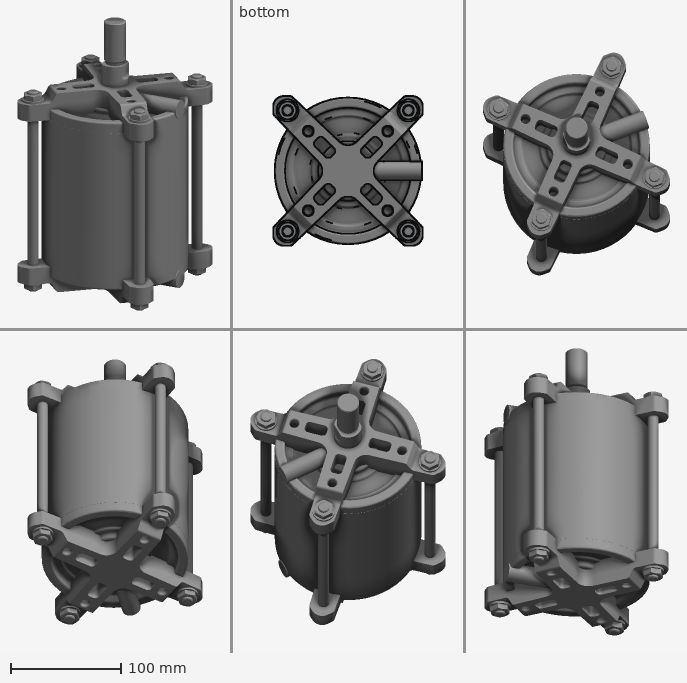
import cadquery as cq
import math

BRACKET_TOP = 191.3
BRACKET_HEIGHT = 25.0
BRACKET_BASE = BRACKET_TOP - BRACKET_HEIGHT
MID_HEIGHT = BRACKET_TOP / 2

DRUM_RADIUS = 133.3 / 2
CAP_RIM_TOP = 176.2
CAP_RADIUS = 133.0 / 2
CAP_SEAT = 2.5
CAP_EDGE_ROUND = 1.8
CAP_TIER = BRACKET_BASE + 2.3
RIM_WALL_RADIUS = 57.2
OUTER_TIER_RADIUS = 50.2
INNER_TIER_RADIUS = 32.6
HUB_RADIUS = 27.0
HUB_TOP = 174.2
TIER_WALL_ANGLE = 60.0
CAP_ROUND = 2.3
TIER_EDGE_ROUND = 1.5

FOOT_REACH = 136.0 / 2
FOOT_CORNER = 51.5
FOOT_ROUND = 10.0
FOOT_SIDE_ROUND = 4.3
ARM_NOTCH = 19.0
ARM_NOTCH_ROUND = 11.0
FOOT_TOP = 182.0
ARM_TOP_END = 58.5
ARM_TOP_ROUND = 2.5
ARM_SLOPE_ANGLE = 60.0
ARM_FOOT_ROUND = 4.3
ARM_ANGLES = (45, 135, 225, 315)
ARM_BLANK_LENGTH = 100.5
ARM_BLANK_WIDTH = 35.1

SLOT_DISTANCE = 30.0
SLOT_LENGTH = 20.5
SLOT_WIDTH = 11.0
SLOT_ROUND = 3.8
HOLE_DISTANCE = 51.0
HOLE_RADIUS = 8.5 / 2
HOLE_MOUTH_RADIUS = 10.0 / 2
HOLE_DEPTH = 20.0
DRILL_POINT_ANGLE = 118.0

ROD_DISTANCE = 77.5
ROD_RADIUS = 10.0 / 2
ROD_TIP_CHAMFER = 0.8
WASHER_RADIUS = 20.0 / 2
WASHER_THICKNESS = 2.0
NUT_ACROSS_FLATS = 16.0
NUT_HEIGHT = 5.0
NUT_CHAMFER_ANGLE = 30.0

CABLE_RADIUS = 17.0 / 2
CABLE_HEIGHT = 177.0
CABLE_START = 15.0
CABLE_END = 67.3

SHAFT_TOP = 251.0
COLLAR_RADIUS = 25.0 / 2
COLLAR_TOP = 210.5
FLAT_OFFSET = 10.5
FLAT_BOTTOM = 201.3
FLAT_CUTTER_RADIUS = 5.0
NECK_RADIUS = 16.0 / 2
TIP_RADIUS = 20.0 / 2
TIP_BOTTOM = 213.0
TIP_BOTTOM_CHAMFER = 1.3
TIP_TOP_CHAMFER = 0.8


def rounded_outline(plane, corners):
    """Closed outline on a plane through (x, y, corner radius) points; radius 0 stays sharp."""
    count = len(corners)
    stops = []
    for index, (x, y, radius) in enumerate(corners):
        corner = cq.Vector(x, y)
        if radius == 0:
            stops.append((corner, None, corner))
            continue
        before = (cq.Vector(*corners[index - 1][:2]) - corner).normalized()
        after = (cq.Vector(*corners[(index + 1) % count][:2]) - corner).normalized()
        half_angle = before.getAngle(after) / 2
        setback = radius / math.tan(half_angle)
        to_arc = radius / math.sin(half_angle) - radius
        middle = corner + (before + after).normalized() * to_arc
        stops.append((corner + before * setback, middle, corner + after * setback))
    start = stops[0][2]
    outline = cq.Workplane(plane).moveTo(start.x, start.y)
    for entry, middle, leave in stops[1:] + stops[:1]:
        outline = outline.lineTo(entry.x, entry.y)
        if middle is not None:
            outline = outline.threePointArc((middle.x, middle.y), (leave.x, leave.y))
    return outline.close()


def polar(distance, angle):
    """Point at a distance from the Z axis, at an angle in degrees from +X."""
    return (distance * math.cos(math.radians(angle)), distance * math.sin(math.radians(angle)))


def cap():
    """Upper cap, seated a little way into the drum: rim, stepped ring recess and stepped hub."""
    tier_run = (CAP_TIER - BRACKET_BASE) / math.tan(math.radians(TIER_WALL_ANGLE))
    profile = [
        (0, BRACKET_BASE - CAP_SEAT, 0),
        (CAP_RADIUS, BRACKET_BASE - CAP_SEAT, 0),
        (CAP_RADIUS, CAP_RIM_TOP, CAP_EDGE_ROUND),
        (RIM_WALL_RADIUS, CAP_RIM_TOP, CAP_ROUND),
        (RIM_WALL_RADIUS, CAP_TIER, CAP_ROUND),
        (OUTER_TIER_RADIUS, CAP_TIER, TIER_EDGE_ROUND),
        (OUTER_TIER_RADIUS - tier_run, BRACKET_BASE, CAP_ROUND),
        (INNER_TIER_RADIUS + tier_run, BRACKET_BASE, TIER_EDGE_ROUND),
        (INNER_TIER_RADIUS, CAP_TIER, CAP_ROUND),
        (HUB_RADIUS, CAP_TIER, CAP_ROUND),
        (HUB_RADIUS, HUB_TOP, CAP_ROUND),
        (0, HUB_TOP, 0),
    ]
    return rounded_outline("XZ", profile).revolve(360, (0, 0, 0), (0, 1, 0))


def arm_blank():
    """Side shape of one arm along +X: full height at the centre, sloping down to a low foot."""
    drop = BRACKET_TOP - FOOT_TOP
    slope_end = ARM_TOP_END + drop / math.tan(math.radians(ARM_SLOPE_ANGLE))
    profile = [
        (0, BRACKET_BASE, 0),
        (ARM_BLANK_LENGTH, BRACKET_BASE, 0),
        (ARM_BLANK_LENGTH, FOOT_TOP, 0),
        (slope_end, FOOT_TOP, ARM_FOOT_ROUND),
        (ARM_TOP_END, BRACKET_TOP, ARM_TOP_ROUND),
        (0, BRACKET_TOP, 0),
    ]
    return rounded_outline("XZ", profile).extrude(ARM_BLANK_WIDTH / 2, both=True)


def bracket_plan():
    """Cross of four tapering arms whose feet end in the corners of a square."""
    quadrant = [
        (ARM_NOTCH, 0, ARM_NOTCH_ROUND),
        (FOOT_REACH, FOOT_CORNER, FOOT_SIDE_ROUND),
        (FOOT_REACH, FOOT_REACH, FOOT_ROUND),
        (FOOT_CORNER, FOOT_REACH, FOOT_SIDE_ROUND),
    ]
    corners = []
    for _ in ARM_ANGLES:
        corners += quadrant
        quadrant = [(-y, x, radius) for x, y, radius in quadrant]
    plan = rounded_outline("XY", corners).extrude(BRACKET_HEIGHT)
    return plan.translate((0, 0, BRACKET_BASE))


def arm_slot():
    """Rounded slot through an arm lying along +X."""
    slot = cq.Workplane("XY").box(SLOT_LENGTH, SLOT_WIDTH, BRACKET_HEIGHT, centered=(True, True, False))
    return slot.edges("|Z").fillet(SLOT_ROUND).translate((SLOT_DISTANCE, 0, BRACKET_BASE))


def threaded_hole():
    """Blind hole with a chamfered mouth and a conical bottom, in an arm lying along +X."""
    point_depth = HOLE_RADIUS / math.tan(math.radians(DRILL_POINT_ANGLE / 2))
    mouth_depth = HOLE_MOUTH_RADIUS - HOLE_RADIUS
    profile = [
        (0, BRACKET_TOP),
        (HOLE_MOUTH_RADIUS, BRACKET_TOP),
        (HOLE_RADIUS, BRACKET_TOP - mouth_depth),
        (HOLE_RADIUS, BRACKET_TOP - HOLE_DEPTH),
        (0, BRACKET_TOP - HOLE_DEPTH - point_depth),
    ]
    hole = cq.Workplane("XZ").polyline(profile).close().revolve(360, (0, 0, 0), (0, 1, 0))
    return hole.translate((HOLE_DISTANCE, 0, 0))


def bracket():
    """Four sloping arms trimmed to the plan, with a slot and a threaded hole in each."""
    arms = cq.Workplane("XY")
    cuts = cq.Workplane("XY")
    for angle in ARM_ANGLES:
        arms = arms.add(arm_blank().rotate((0, 0, 0), (0, 0, 1), angle))
        cuts = cuts.add(arm_slot().rotate((0, 0, 0), (0, 0, 1), angle))
        cuts = cuts.add(threaded_hole().rotate((0, 0, 0), (0, 0, 1), angle))
    return bracket_plan().intersect(arms.combine()).cut(cuts.combine())


def tie_rod():
    """Full-length rod on the Z axis with chamfered tips."""
    rod = cq.Workplane("XY").circle(ROD_RADIUS).extrude(BRACKET_TOP)
    return rod.faces("<Z or >Z").chamfer(ROD_TIP_CHAMFER)


def washer_and_nut():
    """Washer and hexagon nut on the upper foot, around the Z axis."""
    washer = cq.Workplane("XY", origin=(0, 0, FOOT_TOP)).circle(WASHER_RADIUS).extrude(WASHER_THICKNESS)
    nut_base = FOOT_TOP + WASHER_THICKNESS
    across_corners = NUT_ACROSS_FLATS / math.cos(math.radians(30))
    nut = cq.Workplane("XY", origin=(0, 0, nut_base)).polygon(6, across_corners).extrude(NUT_HEIGHT)
    flat_radius = NUT_ACROSS_FLATS / 2
    cone_radius = flat_radius + NUT_HEIGHT / math.tan(math.radians(NUT_CHAMFER_ANGLE))
    cone = cq.Solid.makeCone(cone_radius, flat_radius, NUT_HEIGHT, cq.Vector(0, 0, nut_base))
    return washer.union(nut.intersect(cq.Workplane(cone)))


def cable():
    """Straight stub of cable that comes out from under the bracket."""
    return (
        cq.Workplane("YZ", origin=(CABLE_START, 0, CABLE_HEIGHT))
        .circle(CABLE_RADIUS)
        .extrude(CABLE_END - CABLE_START)
    )


def shaft():
    """Shaft standing in the upper bracket, with two wrench flats facing -X and +X."""
    profile = [
        (0, BRACKET_BASE),
        (COLLAR_RADIUS, BRACKET_BASE),
        (COLLAR_RADIUS, COLLAR_TOP),
        (NECK_RADIUS, COLLAR_TOP),
        (NECK_RADIUS, TIP_BOTTOM),
        (TIP_RADIUS - TIP_BOTTOM_CHAMFER, TIP_BOTTOM),
        (TIP_RADIUS, TIP_BOTTOM + TIP_BOTTOM_CHAMFER),
        (TIP_RADIUS, SHAFT_TOP - TIP_TOP_CHAMFER),
        (TIP_RADIUS - TIP_TOP_CHAMFER, SHAFT_TOP),
        (0, SHAFT_TOP),
    ]
    turned = cq.Workplane("XZ").polyline(profile).close().revolve(360, (0, 0, 0), (0, 1, 0))
    cutter_end = FLAT_OFFSET + 2 * FLAT_CUTTER_RADIUS
    cutter_bottom = FLAT_BOTTOM - FLAT_CUTTER_RADIUS
    flat_cut = rounded_outline(
        "XZ",
        [
            (FLAT_OFFSET, COLLAR_TOP, 0),
            (FLAT_OFFSET, cutter_bottom, FLAT_CUTTER_RADIUS),
            (cutter_end, cutter_bottom, 0),
            (cutter_end, COLLAR_TOP, 0),
        ],
    ).extrude(COLLAR_RADIUS, both=True)
    return turned.cut(flat_cut).cut(flat_cut.mirror("YZ"))


def upper_end():
    """Cap, bracket, cable and fasteners at the upper end of the motor."""
    end = cap().union(bracket()).union(cable())
    for angle in ARM_ANGLES:
        end = end.union(washer_and_nut().translate(polar(ROD_DISTANCE, angle)))
    return end


def housing():
    """Everything but the shaft: two mirrored ends, the drum, the tie rods and the shaft socket."""
    drum = cq.Workplane("XY", origin=(0, 0, BRACKET_HEIGHT)).circle(DRUM_RADIUS)
    body = drum.extrude(BRACKET_BASE - BRACKET_HEIGHT)
    body = body.union(upper_end()).union(upper_end().mirror("XY", (0, 0, MID_HEIGHT)))
    for angle in ARM_ANGLES:
        body = body.union(tie_rod().translate(polar(ROD_DISTANCE, angle)))
    socket = cq.Workplane("XY", origin=(0, 0, BRACKET_BASE)).circle(COLLAR_RADIUS).extrude(BRACKET_HEIGHT)
    return body.cut(socket)


result = cq.Compound.makeCompound([housing().val(), shaft().val()])